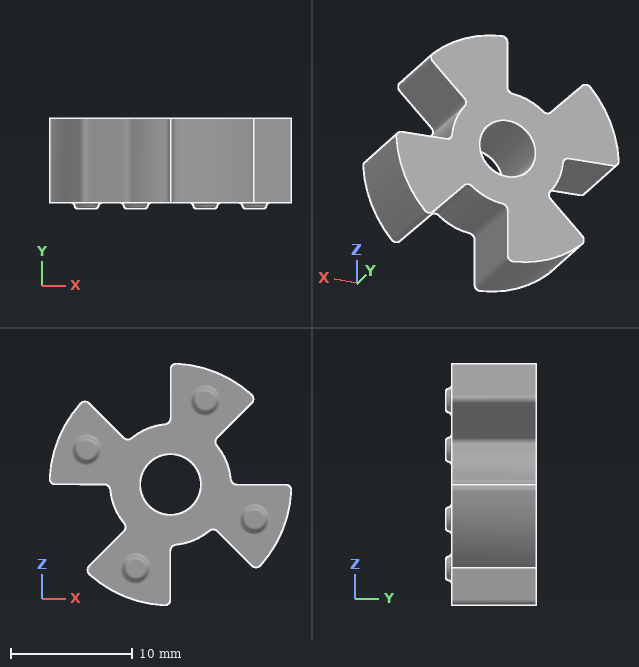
import cadquery as cq
import math

thickness = 7.0
outer_radius = 10.0
hub_radius = 5.0
bore_diameter = 5.0
arm_count = 4
arm_pitch = 360 / arm_count
arm_span = arm_pitch / 2
first_arm_start = arm_span
edge_radius = 0.5

nub_height = 0.5
nub_circle_radius = (outer_radius + hub_radius) / 2
nub_base_radius = 1.3
nub_top_radius = 0.7
nub_middle_radius = (nub_base_radius + nub_top_radius) / 2

FRONT_PLANE = "XZ"


def polar(radius, angle):
    """Return the X, Z position at a radius and an angle in degrees from +X."""
    turn = math.radians(angle)
    return radius * math.cos(turn), radius * math.sin(turn)


def make_arm(start_angle):
    """Wedge from the part axis to the outer radius."""
    end_angle = start_angle + arm_span
    middle_angle = start_angle + arm_span / 2
    return (
        cq.Workplane(FRONT_PLANE)
        .moveTo(0, 0)
        .lineTo(*polar(outer_radius, start_angle))
        .threePointArc(polar(outer_radius, middle_angle), polar(outer_radius, end_angle))
        .close()
        .extrude(-thickness)
    )


def at_radius(radius):
    """Return a test that picks the edges lying along Y at a given distance from the axis."""
    tolerance = 0.01

    def is_there(edge):
        middle = edge.Center()
        return abs(math.hypot(middle.x, middle.z) - radius) < tolerance

    return is_there


def make_body():
    """Hub and arms joined, with every arm corner rounded, then bored through."""
    body = cq.Workplane(FRONT_PLANE).circle(hub_radius).extrude(-thickness)
    for index in range(arm_count):
        body = body.union(make_arm(first_arm_start + index * arm_pitch))
    for radius in (hub_radius, outer_radius):
        corners = body.edges("|Y").filter(at_radius(radius))
        body = corners.fillet(edge_radius)
    bore = cq.Workplane(FRONT_PLANE).circle(bore_diameter / 2).extrude(-thickness)
    return body.cut(bore)


def make_nub(angle):
    """Round nub whose side sweeps out of the face and over into a flat top."""
    half_height = nub_height / 2
    half_run = nub_base_radius - nub_middle_radius
    blend_radius = (half_run**2 + half_height**2) / (2 * half_height)
    half_sweep = math.atan2(half_height, half_run)
    bulge_run = blend_radius * math.sin(half_sweep)
    bulge_rise = blend_radius * (1 - math.cos(half_sweep))
    base_arc_middle = (nub_base_radius - bulge_run, -bulge_rise)
    top_arc_middle = (nub_top_radius + bulge_run, bulge_rise - nub_height)
    profile = (
        cq.Workplane("XY")
        .lineTo(nub_base_radius, 0)
        .threePointArc(base_arc_middle, (nub_middle_radius, -half_height))
        .threePointArc(top_arc_middle, (nub_top_radius, -nub_height))
        .lineTo(0, -nub_height)
        .close()
    )
    x, z = polar(nub_circle_radius, angle)
    return profile.revolve(axisStart=(0, 0), axisEnd=(0, 1)).translate((x, 0, z))


result = make_body()
for index in range(arm_count):
    arm_middle = first_arm_start + arm_span / 2 + index * arm_pitch
    result = result.union(make_nub(arm_middle))